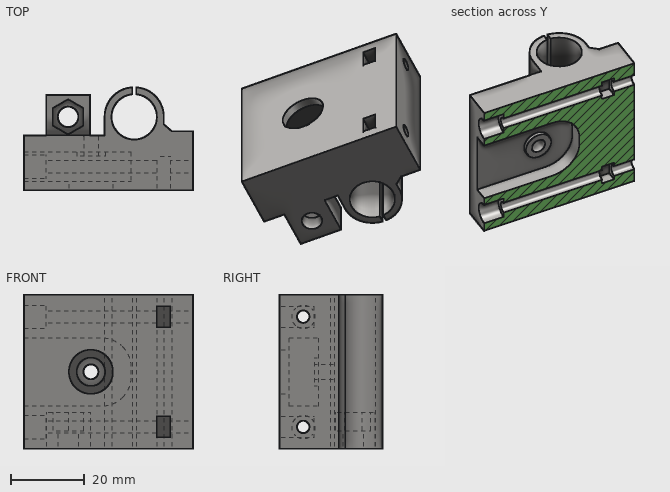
import cadquery as cq


length = 46.0
height = 42.0
mid_height = height / 2
back_left = 15.0
back_right = 16.15

clamp_x = 30.0
clamp_y = 20.0
clamp_radius = 8.1
bore_diameter = 12.3
slit_width = 1.0
gusset_y = 18.0
gusset_width = 2.1

holder_size = 12.0
holder_x = 12.0
holder_back = 26.0
holder_height = 9.95
holder_hole_diameter = 5.5
hex_flats = 8.3
hex_depth = holder_height / 2

pocket_front = 2.5
pocket_back = 10.6
pocket_height = 18.6
pocket_end_flat = 2.4
pocket_corner_radius = (pocket_height - pocket_end_flat) / 2
axle_x = 18.2
pocket_end = 29.1
access_diameter = 12.0
axle_diameter = 4.0
spacer_diameter = 7.75
spacer_height = 1.1

screw_y = 6.5
screw_offset = 15.0
screw_diameter = 3.3
head_diameter = 6.35
head_depth = 6.0
nut_x = 37.95
nut_thickness = 3.65
nut_width = 5.75
nut_slot_depth = screw_y + nut_width / 2


def rod_along_y(diameter, y_start, y_end):
    """Cylinder on the axle line between two Y positions."""
    return (
        cq.Workplane("XZ", origin=(axle_x, y_start, mid_height))
        .circle(diameter / 2)
        .extrude(y_start - y_end)
    )


def rod_along_x(diameter, z, x_end):
    """Cylinder on a screw line, from the left face to x_end."""
    return cq.Workplane("YZ", origin=(0, screw_y, z)).circle(diameter / 2).extrude(x_end)


def block_with_clamp():
    clamp_left = clamp_x - clamp_radius
    clamp_right = clamp_x + clamp_radius
    body = (
        cq.Workplane("XY")
        .moveTo(0, 0)
        .lineTo(length, 0)
        .lineTo(length, back_right)
        .lineTo(clamp_right + gusset_width, back_right)
        .lineTo(clamp_right, gusset_y)
        .lineTo(clamp_right, clamp_y)
        .threePointArc((clamp_x, clamp_y + clamp_radius), (clamp_left, clamp_y))
        .lineTo(clamp_left, back_left)
        .lineTo(0, back_left)
        .close()
        .extrude(height)
    )
    bore = cq.Workplane("XY").center(clamp_x, clamp_y).circle(bore_diameter / 2).extrude(height)
    slit = (
        cq.Workplane("XY")
        .center(clamp_x, clamp_y + clamp_radius / 2)
        .rect(slit_width, clamp_radius)
        .extrude(height)
    )
    return body.cut(bore).cut(slit)


def nut_holder():
    holder_depth = holder_back - back_left
    block = (
        cq.Workplane("XY")
        .center(holder_x, back_left + holder_depth / 2)
        .rect(holder_size, holder_depth)
        .extrude(holder_height)
    )
    hole = (
        cq.Workplane("XY")
        .center(holder_x, clamp_y)
        .circle(holder_hole_diameter / 2)
        .extrude(holder_height)
    )
    hexagon = (
        cq.Workplane("XY", origin=(holder_x, clamp_y, holder_height - hex_depth))
        .polygon(6, hex_flats, circumscribed=True)
        .extrude(hex_depth)
    )
    return block.cut(hole).cut(hexagon)


def wheel_pocket():
    pocket = (
        cq.Workplane("XY")
        .box(pocket_end, pocket_back - pocket_front, pocket_height, centered=(False, False, True))
        .edges("|Y and >X")
        .fillet(pocket_corner_radius)
        .translate((0, pocket_front, mid_height))
    )
    spacer = rod_along_y(spacer_diameter, pocket_back - spacer_height, pocket_back)
    access = rod_along_y(access_diameter, 0, pocket_front)
    axle = rod_along_y(axle_diameter, 0, back_left)
    return pocket.cut(spacer).union(access).union(axle)


def screw_cut(z):
    shank = rod_along_x(screw_diameter, z, length)
    head = rod_along_x(head_diameter, z, head_depth)
    nut_slot = (
        cq.Workplane("XY")
        .box(nut_thickness, nut_slot_depth, nut_width, centered=(True, False, True))
        .translate((nut_x, 0, z))
    )
    return shank.union(head).union(nut_slot)


result = block_with_clamp().union(nut_holder()).cut(wheel_pocket())
for side in (-1, 1):
    result = result.cut(screw_cut(mid_height + side * screw_offset))